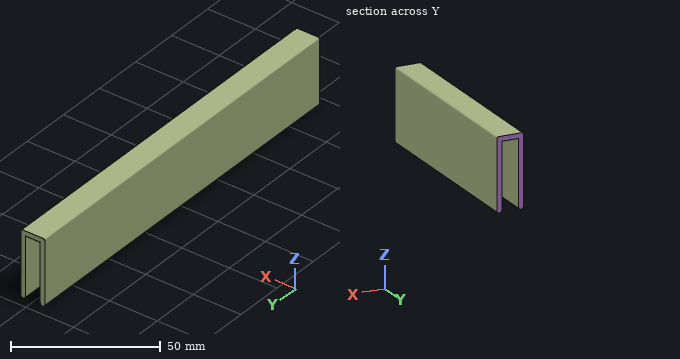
import cadquery as cq

width = 10.16
length = 152.4
height = 27.432

wall = 2.032
top_edge_radius = 0.762
leg_end_radius = wall / 2

top_z = 7.4

outer_x = width / 2
inner_x = outer_x - wall
leg_center_x = outer_x - leg_end_radius
slot_top_z = top_z - wall
bottom_z = top_z - height
foot_z = bottom_z + leg_end_radius


def make_channel():
    """Downward-opening U channel with round-ended legs, extruded along Y."""
    section = (
        cq.Workplane("XZ")
        .moveTo(-outer_x, top_z)
        .lineTo(outer_x, top_z)
        .lineTo(outer_x, foot_z)
        .threePointArc((leg_center_x, bottom_z), (inner_x, foot_z))
        .lineTo(inner_x, slot_top_z)
        .lineTo(-inner_x, slot_top_z)
        .lineTo(-inner_x, foot_z)
        .threePointArc((-leg_center_x, bottom_z), (-outer_x, foot_z))
        .close()
    )
    return section.extrude(length / 2, both=True)


def round_top_edges(channel):
    """Round the two long outer edges of the top web."""
    return channel.faces(">Z").edges("|Y").fillet(top_edge_radius)


result = round_top_edges(make_channel())